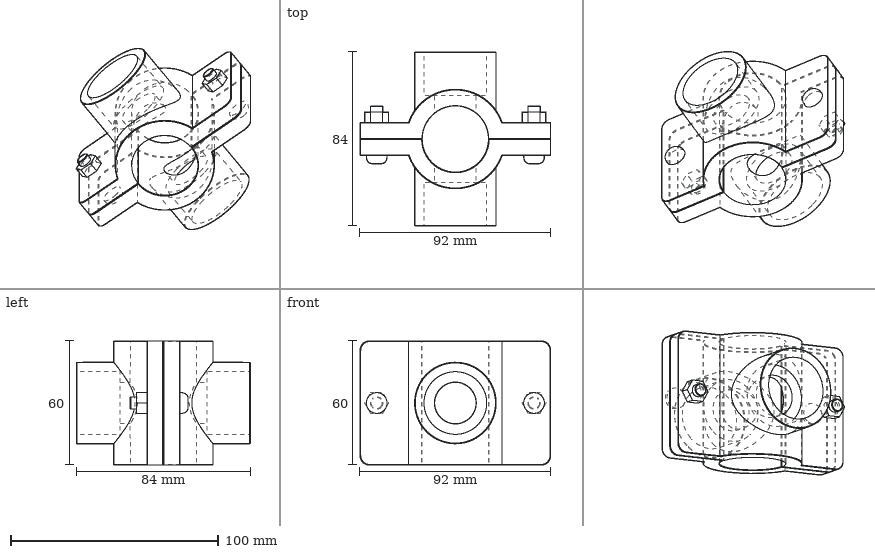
import cadquery as cq
import math

length_x = 92.0
height = 60.0
barrel_radius = 24.0
bore_radius = 16.0
flange_thickness = 8.0
flange_corner_radius = 4.5
edge_chamfer = 0.3

tube_reach = 42.0
tube_diameter = 39.38
socket_diameter = 30.29
socket_floor = 21.0
passage_diameter = 20.0

bolt_spacing = 76.0
head_diameter = 10.0
head_height = 4.0
head_rounding = 3.0
nut_width = 10.0
nut_corner_width = nut_width / math.cos(math.pi / 6)
nut_height = 5.0
shank_diameter = 6.0
shank_reach = 16.0
shank_chamfer = 0.3

FRONT = -1
REAR = 1
TOLERANCE = 0.01
bolt_places = [(-bolt_spacing / 2, 0), (bolt_spacing / 2, 0)]


def outward_plane(side, distance):
    """Plane at a distance from the parting face, facing away from it."""
    return cq.Workplane(cq.Plane(origin=(0, side * distance, 0), xDir=(1, 0, 0), normal=(0, side, 0)))


def barrel_cylinder(radius):
    """Full-height cylinder on the barrel axis."""
    return cq.Workplane("XY").circle(radius).extrude(height / 2, both=True)


def is_outer_edge(edge, side):
    """Rim of the flange face, or the outer barrel arc at either end."""
    box = edge.BoundingBox()
    center = edge.Center()
    on_flange_face = abs(side * center.y - flange_thickness) < TOLERANCE and box.ylen < TOLERANCE
    in_barrel_corner = on_flange_face and box.zlen > height - TOLERANCE
    barrel_arc = edge.geomType() == "CIRCLE" and abs(edge.radius() - barrel_radius) < TOLERANCE
    return (on_flange_face and not in_barrel_corner) or barrel_arc


def is_inner_edge(edge, side):
    """Rim of the parting face; on the front half also the bore arc at either end."""
    box = edge.BoundingBox()
    on_parting_face = abs(box.ymin) < TOLERANCE and abs(box.ymax) < TOLERANCE
    bore_arc = edge.geomType() == "CIRCLE" and abs(edge.radius() - bore_radius) < TOLERANCE
    return on_parting_face or (bore_arc and side == FRONT)


def make_clamp(side):
    """Half barrel and flanges with the half bore and broken edges."""
    flange = (
        outward_plane(side, 0)
        .rect(length_x, height)
        .extrude(flange_thickness)
        .edges("|Y")
        .fillet(flange_corner_radius)
    )
    barrel = barrel_cylinder(barrel_radius)
    bore = barrel_cylinder(bore_radius)
    half_space = outward_plane(side, 0).rect(length_x, height).extrude(tube_reach)
    clamp = flange.union(barrel.intersect(half_space)).cut(bore)
    edges = [e for e in clamp.edges().vals() if is_outer_edge(e, side) or is_inner_edge(e, side)]
    return clamp.newObject(edges).chamfer(edge_chamfer)


def add_tube(clamp, side):
    """Side tube with a socket that steps down to a passage into the main bore."""
    tube_length = tube_reach - flange_thickness
    tube = outward_plane(side, flange_thickness).circle(tube_diameter / 2).extrude(tube_length)
    tube = tube.faces(">Y" if side == REAR else "<Y").chamfer(edge_chamfer)
    bore = barrel_cylinder(bore_radius)
    socket_depth = tube_reach - socket_floor
    socket = outward_plane(side, socket_floor).circle(socket_diameter / 2).extrude(socket_depth)
    passage = outward_plane(side, 0).circle(passage_diameter / 2).extrude(tube_reach)
    return clamp.union(tube.cut(bore)).cut(socket).cut(passage)


def make_front_half():
    """Front clamp half carrying the round bolt heads."""
    heads = (
        outward_plane(FRONT, flange_thickness)
        .pushPoints(bolt_places)
        .circle(head_diameter / 2)
        .extrude(head_height)
        .faces("<Y")
        .edges()
        .fillet(head_rounding)
    )
    return add_tube(make_clamp(FRONT), FRONT).union(heads)


def make_rear_half():
    """Rear clamp half carrying the hexagon nuts and the bolt ends."""
    nuts = (
        outward_plane(REAR, flange_thickness)
        .pushPoints(bolt_places)
        .polygon(6, nut_corner_width)
        .extrude(nut_height)
    )
    bolt_ends = (
        outward_plane(REAR, flange_thickness)
        .pushPoints(bolt_places)
        .circle(shank_diameter / 2)
        .extrude(shank_reach - flange_thickness)
        .faces(">Y")
        .chamfer(shank_chamfer)
    )
    return add_tube(make_clamp(REAR), REAR).union(nuts).union(bolt_ends)


front_half = make_front_half()
rear_half = make_rear_half()

result = cq.Compound.makeCompound([front_half.solids().val(), rear_half.solids().val()])